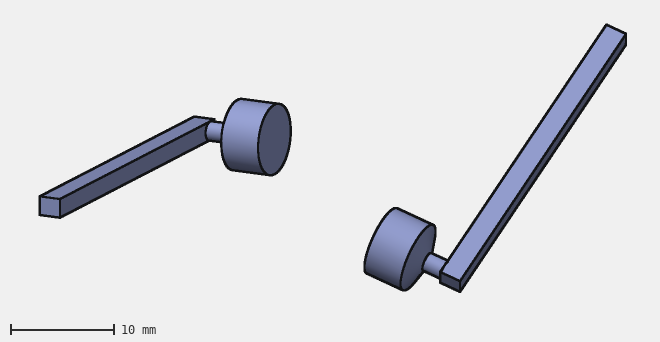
import cadquery as cq

ARM_WIDTH = 2.2
ARM_HEIGHT = 1.9
STEM_DIAMETER = 1.92
STEM_LENGTH = 2.0
CONE_LENGTH = 1.0
HEAD_DIAMETER = 7.0
HEAD_LENGTH = 4.0
OVERALL_LENGTH = 35.55

stem_radius = STEM_DIAMETER / 2
head_radius = HEAD_DIAMETER / 2

arm_end_y = stem_radius
arm_length = OVERALL_LENGTH - head_radius + arm_end_y

cone_start_x = ARM_WIDTH + STEM_LENGTH
head_start_x = cone_start_x + CONE_LENGTH
head_end_x = head_start_x + HEAD_LENGTH


def make_arm():
    """Straight rectangular bar running along Y."""
    return (
        cq.Workplane("XY")
        .box(ARM_WIDTH, arm_length, ARM_HEIGHT, centered=(False, False, True))
        .translate((0, arm_end_y - arm_length, 0))
    )


def make_knob():
    """Stem, cone and cylindrical head revolved about the X axis."""
    half_profile = [
        (ARM_WIDTH, 0),
        (ARM_WIDTH, stem_radius),
        (cone_start_x, stem_radius),
        (head_start_x, head_radius),
        (head_end_x, head_radius),
        (head_end_x, 0),
    ]
    return cq.Workplane("XY").polyline(half_profile).close().revolve(360, (0, 0, 0), (1, 0, 0))


arm = make_arm()
knob = make_knob()

result = cq.Compound.makeCompound([arm.val(), knob.val()])